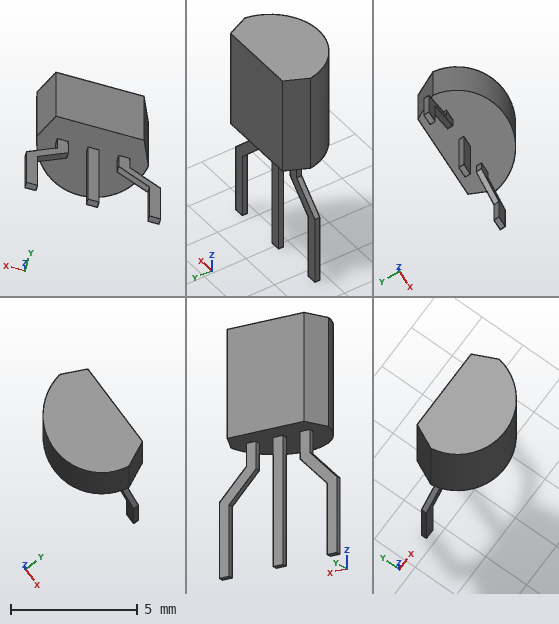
import cadquery as cq
import math

total_height = 10.04
body_width = 4.6
body_height = 4.6
body_front = 1.97
body_back = 1.02
flat_width = 3.63

lead_width = 0.46
lead_thickness = 0.24
foot_pitch = 2.54
exit_pitch = foot_pitch / 2
lower_bend_height = 3.2
bend_angle = 45.0

body_bottom = total_height - body_height
slant_rise = (foot_pitch - exit_pitch) / math.tan(math.radians(bend_angle))
upper_bend_height = lower_bend_height + slant_rise
miter_drop = lead_width * math.tan(math.radians(bend_angle / 2))


def make_body():
    """Round-fronted body with a flat back and two slanted cheeks."""
    return (
        cq.Workplane("XY", origin=(0, 0, body_bottom))
        .moveTo(-body_width / 2, 0)
        .threePointArc((0, -body_front), (body_width / 2, 0))
        .lineTo(flat_width / 2, body_back)
        .lineTo(-flat_width / 2, body_back)
        .close()
        .extrude(body_height)
    )


def make_straight_lead():
    """Middle lead, straight down from the body."""
    return (
        cq.Workplane("XY")
        .rect(lead_width, lead_thickness)
        .extrude(body_bottom)
    )


def make_outer_lead():
    """Lead on the +X side, stepped outward to the foot pitch."""
    foot_outer = foot_pitch + lead_width / 2
    foot_inner = foot_pitch - lead_width / 2
    exit_outer = exit_pitch + lead_width / 2
    exit_inner = exit_pitch - lead_width / 2
    outline = [
        (foot_inner, 0),
        (foot_outer, 0),
        (foot_outer, lower_bend_height),
        (exit_outer, upper_bend_height),
        (exit_outer, body_bottom),
        (exit_inner, body_bottom),
        (exit_inner, upper_bend_height - miter_drop),
        (foot_inner, lower_bend_height - miter_drop),
    ]
    return (
        cq.Workplane("XZ")
        .polyline(outline)
        .close()
        .extrude(lead_thickness / 2, both=True)
    )


outer_lead = make_outer_lead()

result = (
    make_body()
    .union(make_straight_lead())
    .union(outer_lead)
    .union(outer_lead.mirror("YZ"))
)